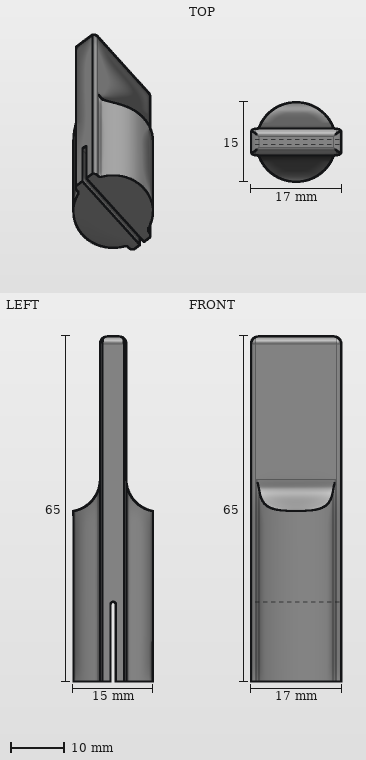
import cadquery as cq

height = 65.0
blade_width = 17.0
blade_thickness = 5.0
top_round = 1.5
edge_chamfer = 0.5
edge_round = 1.0
barrel_diameter = 15.0
root_radius = 0.5
scoop_top = 38.0
scoop_radius = 6.0
slot_width = 1.0
slot_height = 15.0

half_width = blade_width / 2
half_thickness = blade_thickness / 2
barrel_radius = barrel_diameter / 2
margin = 0.05


def round_topped_plate(plane, width, depth):
    """Upright plate centred on the Z axis, with its two top corners rounded."""
    half = width / 2
    shoulder = height - top_round
    return (
        cq.Workplane(plane)
        .moveTo(-half, 0)
        .lineTo(-half, shoulder)
        .radiusArc((-half + top_round, height), top_round)
        .lineTo(half - top_round, height)
        .radiusArc((half, shoulder), top_round)
        .lineTo(half, 0)
        .close()
        .extrude(depth / 2, both=True)
    )


def make_blade():
    """Blade whose bevelled long edges run over the rounded top."""
    blade = (
        round_topped_plate("YZ", blade_thickness, blade_width)
        .faces("<X or >X").edges("not(<Z)").chamfer(edge_chamfer)
    )
    bevel_line = half_width - edge_chamfer
    for side in (-1, 1):
        inner_bevel_edges = cq.selectors.BoxSelector(
            (side * bevel_line - margin, -half_thickness - margin, margin),
            (side * bevel_line + margin, half_thickness + margin, height + margin),
        )
        blade = blade.edges(inner_bevel_edges).fillet(edge_round)
    return blade.intersect(round_topped_plate("XZ", blade_width, blade_thickness))


def add_barrel(blade):
    """Join the barrel to the blade and fillet the four inner corners."""
    barrel = cq.Workplane("XY").circle(barrel_radius).extrude(scoop_top)
    corners = cq.selectors.BoxSelector(
        (-barrel_radius, -half_thickness - margin, 0),
        (barrel_radius, half_thickness + margin, scoop_top),
    )
    return blade.union(barrel).edges("|Z").edges(corners).fillet(root_radius)


def make_scoop():
    """Cutter that sweeps the barrel's -Y side up into the blade face along a quarter arc."""
    scoop_end = half_thickness + scoop_radius
    return (
        cq.Workplane("YZ")
        .moveTo(-half_thickness, scoop_top)
        .radiusArc((-scoop_end, scoop_top - scoop_radius), scoop_radius)
        .lineTo(-scoop_end, scoop_top)
        .close()
        .extrude(half_width, both=True)
    )


def make_slot():
    """Round-topped slot through the full width, open at the bottom."""
    slot_radius = slot_width / 2
    arc_start = slot_height - slot_radius
    return (
        cq.Workplane("YZ")
        .moveTo(-slot_radius, 0)
        .lineTo(-slot_radius, arc_start)
        .threePointArc((0, slot_height), (slot_radius, arc_start))
        .lineTo(slot_radius, 0)
        .close()
        .extrude(half_width, both=True)
    )


scoop = make_scoop()
result = (
    add_barrel(make_blade())
    .cut(scoop)
    .cut(scoop.mirror("XZ"))
    .cut(make_slot())
)